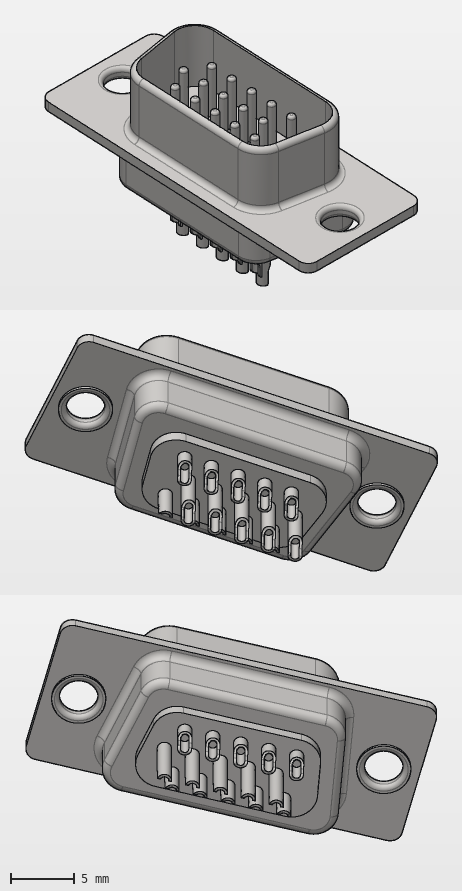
import cadquery as cq
import math


FLANGE_LENGTH = 30.81
FLANGE_WIDTH = 12.55
FLANGE_THICKNESS = 0.95
FLANGE_CORNER_RADIUS = 1.0
HOLE_SPACING = 25.0
HOLE_DIAMETER = 3.05
HOLE_LIP_RADIUS = 0.4
COLLAR_DIAMETER = 4.3
COLLAR_HEIGHT = 0.25

EDGE_MARGIN = 0.1

SIDE_ANGLE = math.radians(10)
SHELL_OUTLINE = (8.97, 4.67, 2.52)
BACK_OUTLINE = (9.61, 5.36, 1.96)
INSERT_OUTLINE = (7.39, 3.5, 2.06)

SHELL_HEIGHT = 6.05
SHELL_WALL = 0.5
SHELL_FILLET = SHELL_WALL
CAVITY_FLOOR_Z = 0.0

BACK_BOTTOM_Z = -4.97
BACK_FILLET = 0.65
INSERT_HEIGHT = 1.0
INSERT_BOTTOM_Z = BACK_BOTTOM_Z - INSERT_HEIGHT

PIN_PITCH = 2.29
PINS_PER_ROW = 5
ROW_SPACING = 2.0
MIDDLE_ROW_X = -0.9
OUTER_ROW_X = MIDDLE_ROW_X + PIN_PITCH / 2
PIN_DIAMETER = 0.76
PIN_TOP_Z = 5.0
PIN_TIP_FILLET = 0.25

CUP_DIAMETER = 1.15
CUP_BORE = 0.7
SHORT_CUP = (-8.92, 1.77, 0.65, 0.35)
LONG_CUP = (-11.2, 1.95, 0.8, 0.15)


def d_outline(outline, z, inset=0.0):
    """D-shaped wire at height z, wide side toward +Y, inset evenly all round."""
    half_width, half_height, corner = outline
    radius = corner - inset
    center_y = half_height - corner
    wide_x = half_width - corner
    narrow_x = wide_x - 2 * center_y * math.tan(SIDE_ANGLE)

    def on_corner(x, y, angle):
        return (x + radius * math.cos(angle), y + radius * math.sin(angle))

    def mirrored(point):
        return (-point[0], point[1])

    quarter = math.pi / 2
    wide_middle = (quarter - SIDE_ANGLE) / 2
    narrow_middle = -(quarter + SIDE_ANGLE) / 2
    wide_end = on_corner(wide_x, center_y, quarter)
    wide_mid = on_corner(wide_x, center_y, wide_middle)
    wide_side = on_corner(wide_x, center_y, -SIDE_ANGLE)
    narrow_side = on_corner(narrow_x, -center_y, -SIDE_ANGLE)
    narrow_mid = on_corner(narrow_x, -center_y, narrow_middle)
    narrow_end = on_corner(narrow_x, -center_y, -quarter)
    return (
        cq.Workplane("XY", origin=(0, 0, z))
        .moveTo(*mirrored(wide_end))
        .lineTo(*wide_end)
        .threePointArc(wide_mid, wide_side)
        .lineTo(*narrow_side)
        .threePointArc(narrow_mid, narrow_end)
        .lineTo(*mirrored(narrow_end))
        .threePointArc(mirrored(narrow_mid), mirrored(narrow_side))
        .lineTo(*mirrored(wide_side))
        .threePointArc(mirrored(wide_mid), mirrored(wide_end))
        .close()
    )


def cylinder(diameter, bottom_z, top_z, x=0.0):
    base = cq.Workplane("XY", origin=(x, 0, bottom_z))
    return base.circle(diameter / 2).extrude(top_z - bottom_z)


def junction_edges(z):
    """Selector for edges lying at height z inside the flange outline."""
    x = FLANGE_LENGTH / 2 - EDGE_MARGIN
    y = FLANGE_WIDTH / 2 - EDGE_MARGIN
    return cq.selectors.BoxSelector((-x, -y, z - EDGE_MARGIN), (x, y, z + EDGE_MARGIN), boundingbox=True)


def make_body():
    """Flange with the filleted shell above and the filleted body below."""
    flange_bottom_z = -FLANGE_THICKNESS
    flange = (
        cq.Workplane("XY", origin=(0, 0, flange_bottom_z))
        .rect(FLANGE_LENGTH, FLANGE_WIDTH)
        .extrude(FLANGE_THICKNESS)
        .edges("|Z")
        .fillet(FLANGE_CORNER_RADIUS)
    )
    shell = d_outline(SHELL_OUTLINE, flange_bottom_z).extrude(FLANGE_THICKNESS + SHELL_HEIGHT)
    shell = shell.faces(">Z").edges().fillet(SHELL_FILLET)
    back = d_outline(BACK_OUTLINE, BACK_BOTTOM_Z).extrude(-BACK_BOTTOM_Z - FLANGE_THICKNESS / 2)
    back = back.faces("<Z").edges().fillet(BACK_FILLET)
    body = flange.union(shell).union(back)
    body = body.edges(junction_edges(0)).fillet(SHELL_FILLET)
    return body.edges(junction_edges(flange_bottom_z)).fillet(BACK_FILLET)


def add_mounting_holes(body):
    """Through holes with a short collar underneath, flared by a rounded lip at both ends."""
    collar_bottom_z = -FLANGE_THICKNESS - COLLAR_HEIGHT
    reach = HOLE_DIAMETER / 2 + EDGE_MARGIN
    for x in (-HOLE_SPACING / 2, HOLE_SPACING / 2):
        body = body.union(cylinder(COLLAR_DIAMETER, collar_bottom_z, -FLANGE_THICKNESS / 2, x))
        body = body.cut(cylinder(HOLE_DIAMETER, collar_bottom_z, 0, x))
        rims = cq.selectors.BoxSelector(
            (x - reach, -reach, collar_bottom_z - EDGE_MARGIN),
            (x + reach, reach, EDGE_MARGIN),
            boundingbox=True,
        )
        body = body.edges(rims).edges("%CIRCLE").fillet(HOLE_LIP_RADIUS)
    return body


def cup_relief(bottom_z, opening, relief_radius, lip_fillet):
    """Material removed on the +Y side of a cup, leaving the lip of its other half rounded."""
    outer = CUP_DIAMETER
    top_z = bottom_z + opening
    tangent_z = top_z - relief_radius
    diagonal = math.sqrt(0.5)
    relief_mid = (relief_radius * (1 - diagonal), tangent_z + relief_radius * diagonal)
    lip_mid = (-lip_fillet * (1 - diagonal), bottom_z + lip_fillet * (1 - diagonal))
    profile = (
        cq.Workplane("YZ", origin=(-CUP_DIAMETER, 0, 0))
        .moveTo(outer, top_z)
        .lineTo(relief_radius, top_z)
        .threePointArc(relief_mid, (0, tangent_z))
        .lineTo(0, bottom_z + lip_fillet)
        .threePointArc(lip_mid, (-lip_fillet, bottom_z))
        .lineTo(outer, bottom_z)
        .close()
    )
    return profile.extrude(2 * CUP_DIAMETER)


def make_contact(bottom_z, opening, relief_radius, lip_fillet):
    """Round-tipped pin on the Z axis with a solder cup open toward +Y."""
    pin = cylinder(PIN_DIAMETER, INSERT_BOTTOM_Z, PIN_TOP_Z)
    pin = pin.faces(">Z").edges().fillet(PIN_TIP_FILLET)
    cup = cylinder(CUP_DIAMETER, bottom_z, BACK_BOTTOM_Z)
    cup = cup.cut(cylinder(CUP_BORE, bottom_z, bottom_z + opening))
    cup = cup.cut(cup_relief(bottom_z, opening, relief_radius, lip_fillet))
    return pin.union(cup)


def add_contacts(body):
    """Three staggered rows; only the -Y row has its cups turned toward -Y."""
    short_cup = make_contact(*SHORT_CUP)
    long_cup = make_contact(*LONG_CUP)
    turned_cup = short_cup.rotate((0, 0, 0), (0, 0, 1), 180)
    rows = (
        (short_cup, OUTER_ROW_X, ROW_SPACING),
        (long_cup, MIDDLE_ROW_X, 0),
        (turned_cup, OUTER_ROW_X, -ROW_SPACING),
    )
    for contact, row_x, row_y in rows:
        for index in range(PINS_PER_ROW):
            x = row_x + (index - (PINS_PER_ROW - 1) / 2) * PIN_PITCH
            body = body.union(contact.translate((x, row_y, 0)))
    return body


body = add_mounting_holes(make_body())
cavity = d_outline(SHELL_OUTLINE, CAVITY_FLOOR_Z, SHELL_WALL).extrude(SHELL_HEIGHT - CAVITY_FLOOR_Z)
body = body.cut(cavity)
insert = d_outline(INSERT_OUTLINE, INSERT_BOTTOM_Z).extrude(INSERT_HEIGHT)
body = body.union(insert)
result = add_contacts(body)